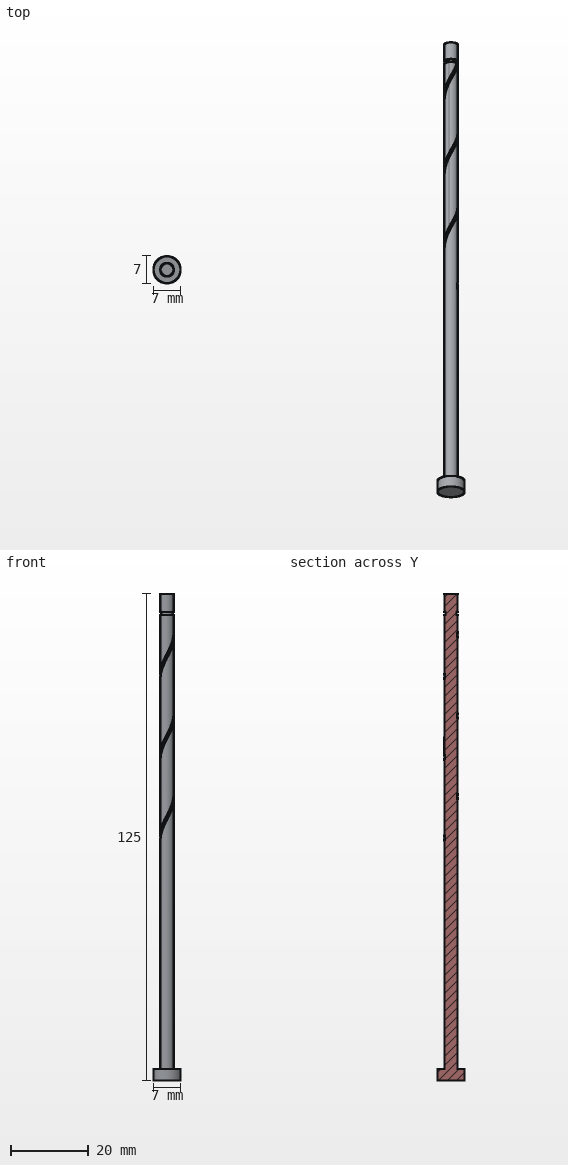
import cadquery as cq
import math

total_length = 125.0
head_diameter = 7.0
head_height = 3.0
shaft_diameter = 3.5

tip_length = 4.6
ring_groove_width = 0.8
ring_groove_diameter = 3.0

spiral_pitch = 20.8
spiral_turns = 3
spiral_start_height = 57.2
spiral_width = 0.5
spiral_depth = 0.1
cutter_overlap = 0.2

shaft_radius = shaft_diameter / 2
ring_groove_radius = ring_groove_diameter / 2


def pin_blank():
    """Head and shaft with the ring groove, revolved about Z."""
    groove_top = total_length - tip_length
    groove_bottom = groove_top - ring_groove_width
    profile = (
        cq.Workplane("XZ")
        .lineTo(head_diameter / 2, 0)
        .lineTo(head_diameter / 2, head_height)
        .lineTo(shaft_radius, head_height)
        .lineTo(shaft_radius, groove_bottom)
        .lineTo(ring_groove_radius, groove_bottom)
        .lineTo(ring_groove_radius, groove_top)
        .lineTo(shaft_radius, groove_top)
        .lineTo(shaft_radius, total_length)
        .lineTo(0, total_length)
        .close()
    )
    return profile.revolve(360, (0, 0, 0), (0, 1, 0))


def spiral_cutter():
    """Rectangular section swept along a helix around the shaft."""
    path = cq.Wire.makeHelix(spiral_pitch, spiral_pitch * spiral_turns, shaft_radius)
    climb_ratio = spiral_pitch / (math.pi * shaft_diameter)
    section_height = spiral_width * math.hypot(1, climb_ratio)
    cutter = (
        cq.Workplane("XZ")
        .center(shaft_radius + (cutter_overlap - spiral_depth) / 2, 0)
        .rect(spiral_depth + cutter_overlap, section_height)
        .sweep(cq.Workplane(path), isFrenet=True)
    )
    return cutter.rotate((0, 0, 0), (0, 0, 1), 90).translate((0, 0, spiral_start_height))


result = pin_blank().cut(spiral_cutter())